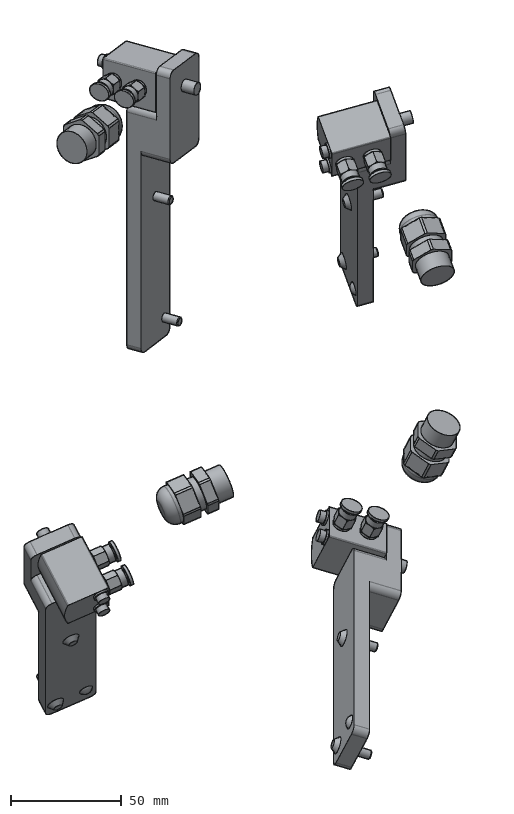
import cadquery as cq
import math


hexagon_turn = 30
hexagon_flat_ratio = math.cos(math.radians(30))

overall_width = 97.5
bracket_width = 25.2
bracket_corner_radius = 3.1
arm_thickness = 7.6
arm_height = 124.3
arm_bottom_front = -0.03
arm_bottom_back = 0.3
head_back = 23.0
head_front = 15.6
head_bottom = 100.0
head_top = 147.0
head_middle_y = bracket_width / 2

block_end = -12.2
block_overhang = 0.6
block_bottom = 125.0
block_height = 20.3
block_side_y = 20.0
block_bulge = 1.6
block_edge_radius = 0.5
block_middle_z = block_bottom + block_height / 2

block_screw_y = 3.6
block_screw_spacing = 13.0
block_screw_radius = 2.8
block_screw_length = 3.7
washer_radius = 3.6
washer_thickness = 0.9

fitting_first_x = -6.4
fitting_spacing = 13.1
fitting_radius = 4.2
fitting_collar_length = 1.3
fitting_hex_length = 6.0
fitting_hex_chamfer = 0.5
fitting_sleeve_length = 3.3
fitting_neck_radius = 3.3
fitting_neck_length = 0.7
release_ring_half_width = 5.0
release_ring_half_height = 4.2
release_ring_thickness = 1.5

stub_radius = 3.0
stub_end = 29.7

screw_head_height = 2.4
screw_head_radius = 4.0
screw_head_flat_radius = 2.1
screw_diameter = 4.3
screw_tip = 16.0
screw_tip_chamfer = 0.5
lower_row_z = 10.1
upper_screw_z = 75.0
lower_row_offset = 7.6
dome_radius = 3.3
dome_height = 1.8

gland_x = 14.9
gland_corner_radius = 10.5
gland_top = 149.0
gland_z = gland_top - gland_corner_radius
gland_across_flats = 18.6
gland_start = -39.8
gland_dome_length = 6.9
gland_dome_radius = 9.2
gland_dome_fillet = 5.2
gland_cap_nut_length = 8.6
gland_neck_length = 3.5
gland_lock_nut_length = 5.5
gland_end = bracket_width - overall_width
gland_thread_diameter = 16.0


def cylinder_x(start, end, radius, y, z):
    """Cylinder along X from start to end."""
    return cq.Workplane("YZ", origin=(start, y, z)).circle(radius).extrude(end - start)


def workplane_facing_minus_y(x, y, z):
    """Workplane at a point whose normal runs along -Y."""
    return cq.Workplane("XZ", origin=(x, y, z))


def rounded_slab(x_start, x_end, z_bottom, z_top, z_bottom_back=None):
    """Slab of the bracket width with rounded corners; its lower edge may rise toward the +Y side."""
    if z_bottom_back is None:
        z_bottom_back = z_bottom
    return (
        cq.Workplane("YZ", origin=(x_start, 0, 0))
        .moveTo(0, z_bottom)
        .lineTo(bracket_width, z_bottom_back)
        .lineTo(bracket_width, z_top)
        .lineTo(0, z_top)
        .close()
        .extrude(x_end - x_start)
        .edges("|X")
        .fillet(bracket_corner_radius)
    )


def make_bracket():
    arm = rounded_slab(0, arm_thickness, arm_bottom_front, arm_height, arm_bottom_back)
    head = rounded_slab(head_front, head_back, head_bottom, head_top)
    bridge = rounded_slab(0, head_back, head_bottom, arm_height)
    return arm.union(bridge).union(head)


def make_block():
    block_top = block_bottom + block_height
    return (
        cq.Workplane("YZ", origin=(block_end, 0, 0))
        .moveTo(-block_overhang, block_bottom)
        .lineTo(block_side_y, block_bottom)
        .threePointArc((block_side_y + block_bulge, block_middle_z), (block_side_y, block_top))
        .lineTo(-block_overhang, block_top)
        .close()
        .extrude(head_front - block_end)
        .edges("|X")
        .fillet(block_edge_radius)
    )


def make_block_screw(z):
    washer = cylinder_x(block_end - washer_thickness, block_end, washer_radius, block_screw_y, z)
    screw = cylinder_x(block_end - block_screw_length, block_end, block_screw_radius, block_screw_y, z)
    return washer.union(screw)


def make_hexagon(x, y, z, flats, length):
    """Hexagon bar along -Y with corners pointing up and down."""
    return (
        workplane_facing_minus_y(x, y, z)
        .transformed(rotate=(0, 0, hexagon_turn))
        .polygon(6, flats / hexagon_flat_ratio)
        .extrude(length)
    )


def make_fitting_hexagon(x, y):
    """Hexagon with its corners chamfered at the outer end."""
    flats = 2 * fitting_radius
    corner_radius = fitting_radius / hexagon_flat_ratio
    turned = (
        workplane_facing_minus_y(x, y, block_middle_z)
        .circle(corner_radius).extrude(fitting_hex_length)
        .faces("<Y").chamfer(fitting_hex_chamfer)
    )
    return make_hexagon(x, y, block_middle_z, flats, fitting_hex_length).intersect(turned)


def make_fitting(x):
    hexagon_start = -block_overhang - fitting_collar_length
    collar = (
        workplane_facing_minus_y(x, -block_overhang, block_middle_z)
        .circle(fitting_radius).extrude(fitting_collar_length)
    )
    outer_end = (
        workplane_facing_minus_y(x, hexagon_start - fitting_hex_length, block_middle_z)
        .circle(fitting_radius).extrude(fitting_sleeve_length)
        .faces("<Y").workplane().circle(fitting_neck_radius).extrude(fitting_neck_length)
        .faces("<Y").workplane()
        .ellipse(release_ring_half_width, release_ring_half_height).extrude(release_ring_thickness)
    )
    return collar.union(make_fitting_hexagon(x, hexagon_start)).union(outer_end)


def make_arm_screw(y, z):
    head = (
        cq.Workplane("YZ", origin=(0, y, z))
        .circle(screw_head_radius)
        .workplane(offset=-screw_head_height)
        .circle(screw_head_flat_radius)
        .loft()
    )
    shank = cylinder_x(0, screw_tip, screw_diameter / 2, y, z).faces(">X").chamfer(screw_tip_chamfer)
    return head.union(shank)


def make_dome(y, z):
    """Spherical cap standing on the arm."""
    sphere_radius = (dome_radius**2 + dome_height**2) / (2 * dome_height)
    return cq.Workplane("XY").sphere(sphere_radius).translate((sphere_radius - dome_height, y, z))


def make_unit():
    unit = make_bracket().union(make_block())
    unit = unit.union(cylinder_x(head_back, stub_end, stub_radius, head_middle_y, block_middle_z))
    for side in (-1, 1):
        unit = unit.union(make_block_screw(block_middle_z + side * block_screw_spacing / 2))
    for index in range(2):
        unit = unit.union(make_fitting(fitting_first_x + index * fitting_spacing))
    unit = unit.union(make_arm_screw(head_middle_y, upper_screw_z))
    unit = unit.union(make_arm_screw(head_middle_y + lower_row_offset, lower_row_z))
    return unit.union(make_dome(head_middle_y - lower_row_offset, lower_row_z))


def make_gland_nut(start, length):
    """Hexagon nut along -Y with its corners turned down to a cylinder."""
    turned = workplane_facing_minus_y(gland_x, start, gland_z).circle(gland_corner_radius).extrude(length)
    return make_hexagon(gland_x, start, gland_z, gland_across_flats, length).intersect(turned)


def make_gland():
    cap_nut_start = gland_start - gland_dome_length
    lock_nut_start = cap_nut_start - gland_cap_nut_length - gland_neck_length
    dome = (
        workplane_facing_minus_y(gland_x, gland_start, gland_z)
        .circle(gland_dome_radius).extrude(gland_dome_length)
        .faces(">Y").edges().fillet(gland_dome_fillet)
    )
    core = (
        workplane_facing_minus_y(gland_x, cap_nut_start, gland_z)
        .circle(gland_thread_diameter / 2).extrude(cap_nut_start - gland_end)
    )
    cap_nut = make_gland_nut(cap_nut_start, gland_cap_nut_length)
    lock_nut = make_gland_nut(lock_nut_start, gland_lock_nut_length)
    return dome.union(core).union(cap_nut).union(lock_nut)


unit = make_unit()
gland = make_gland()
result = cq.Compound.makeCompound([unit.val(), gland.val()])